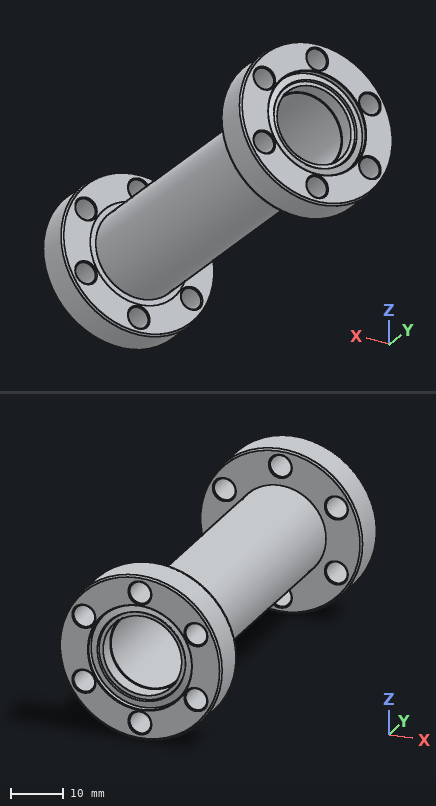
import cadquery as cq

total_length = 76.2
flange_diameter = 34.0
flange_thickness = 7.6
rim_chamfer = 0.4

tube_diameter = 19.05
tube_bore = 15.9
socket_depth = 3.05

bolt_count = 6
bolt_circle = 27.0
bolt_hole_diameter = 4.4
bolt_hole_chamfer = 0.2

recess_diameter = 21.5
recess_depth = 1.3
recess_chamfer = 0.15
knife_diameter = 18.4
knife_root_diameter = 18.05
knife_depth = 0.7
seat_depth = 1.2
port_bore = 16.4

flange_radius = flange_diameter / 2
recess_radius = recess_diameter / 2
tube_radius = tube_diameter / 2
bolt_hole_radius = bolt_hole_diameter / 2
socket_floor = flange_thickness - socket_depth
tube_length = total_length - 2 * socket_floor


def revolve_about_y(points):
    """Revolve a closed (radius, y) outline about the Y axis."""
    return cq.Workplane("XY").polyline(points).close().revolve(360, (0, 0, 0), (0, 1, 0))


def make_bolt_holes():
    """Cutters for the bolt holes of a flange whose sealing face is at y = 0."""
    mouth_radius = bolt_hole_radius + bolt_hole_chamfer
    hole = revolve_about_y([
        (0, 0),
        (mouth_radius, 0),
        (bolt_hole_radius, bolt_hole_chamfer),
        (bolt_hole_radius, flange_thickness - bolt_hole_chamfer),
        (mouth_radius, flange_thickness),
        (0, flange_thickness),
    ]).translate((0, 0, bolt_circle / 2))
    holes = cq.Workplane("XY")
    for index in range(bolt_count):
        angle = index * 360 / bolt_count
        holes = holes.add(hole.rotate((0, 0, 0), (0, 1, 0), angle))
    return holes.combine()


def make_bolt_ring():
    """Outer ring of a flange, with its bolt holes; its sealing face is at y = 0."""
    ring = revolve_about_y([
        (recess_radius, recess_chamfer),
        (recess_radius + recess_chamfer, 0),
        (flange_radius - rim_chamfer, 0),
        (flange_radius, rim_chamfer),
        (flange_radius, flange_thickness - rim_chamfer),
        (flange_radius - rim_chamfer, flange_thickness),
        (recess_radius, flange_thickness),
    ])
    return ring.cut(make_bolt_holes())


def make_knife_edge_hub():
    """Centre of a flange: knife edge, seat, bore and tube socket, in one revolved outline."""
    return revolve_about_y([
        (recess_radius, recess_depth),
        (knife_diameter / 2, knife_depth),
        (knife_root_diameter / 2, seat_depth),
        (port_bore / 2, seat_depth),
        (port_bore / 2, socket_floor),
        (tube_radius, socket_floor),
        (tube_radius, flange_thickness),
        (recess_radius, flange_thickness),
    ])


def make_tube():
    """Plain tube reaching from one socket floor to the other."""
    return revolve_about_y([
        (tube_bore / 2, -tube_length / 2),
        (tube_radius, -tube_length / 2),
        (tube_radius, tube_length / 2),
        (tube_bore / 2, tube_length / 2),
    ])


to_near_end = (0, -total_length / 2, 0)
rotatable_ring = make_bolt_ring().translate(to_near_end)
rotatable_hub = make_knife_edge_hub().translate(to_near_end)

fixed_flange = make_bolt_ring().union(make_knife_edge_hub()).translate(to_near_end).mirror("XZ")

tube = make_tube()

result = cq.Compound.makeCompound([
    rotatable_ring.val(),
    rotatable_hub.val(),
    fixed_flange.val(),
    tube.val(),
])